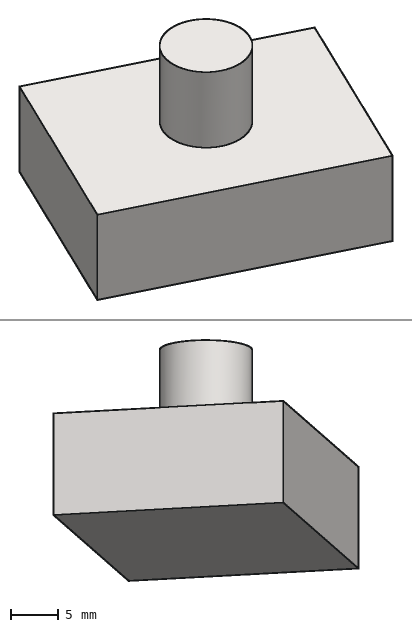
import cadquery as cq

base_length_x = 25.0
base_length_y = 33.0
base_height = 11.0

pin_diameter = 9.8
overall_height = 20.73
pin_height = overall_height - base_height


def make_base():
    """Block centred on the Z axis, resting on the XY plane."""
    return cq.Workplane("XY").box(
        base_length_x, base_length_y, base_height, centered=(True, True, False)
    )


def add_pin(body):
    """Raise the round pin from the top face of the block."""
    return body.faces(">Z").workplane().circle(pin_diameter / 2).extrude(pin_height)


result = add_pin(make_base())